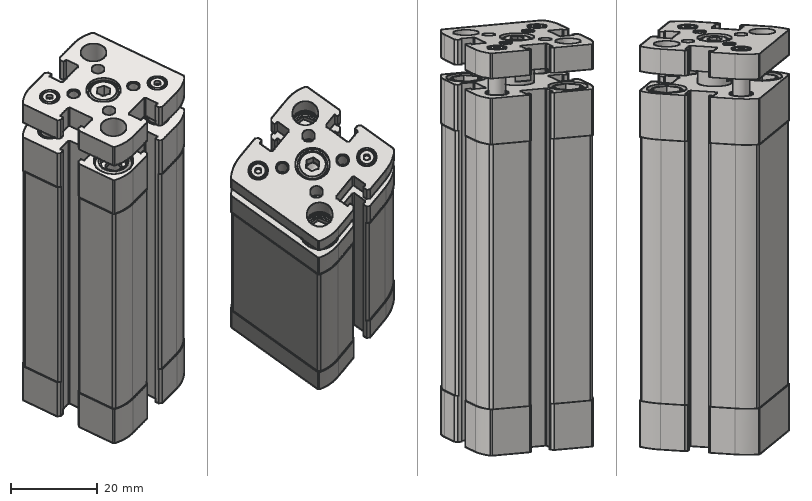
import cadquery as cq
import math

width = 29.0
half_width = width / 2
end_cap_height = 11.0
housing_height = 85.0
plate_gap = 4.7
plate_thickness = 6.0
tube_height = housing_height - 2 * end_cap_height
plate_bottom = housing_height + plate_gap
plate_top = plate_bottom + plate_thickness

side_flat_half = 9.0
corner_arc_radius = 10.0
cap_corner_chamfer = 0.25
tube_inset = 0.2
tube_corner_chamfer = 0.5

slot_mouth_width = 5.0
slot_inner_width = 6.8
slot_depth = 5.2
slot_lip = 1.6
slot_mouth_chamfer = 0.6
slot_floor_chamfer = 0.3
slot_overrun = 1.0

rod_diameter = 8.0
rod_flats = 7.0
rod_shoulder_height = 0.9
rod_flats_start = housing_height + rod_shoulder_height
spigot_diameter = 7.0
spigot_chamfer = 0.45
spigot_recess = 0.3
spigot_groove_depth = 0.8
rod_hex_flats = 3.0
rod_hex_depth = 3.0
drill_point_angle = 118.0

corner_pitch = 9.0
guide_points = [(-corner_pitch, -corner_pitch), (corner_pitch, corner_pitch)]
guide_diameter = 4.0
guide_end_chamfer = 0.3
guide_centre_bore = 1.5
guide_centre_depth = 1.0
guide_clearance = 4.6
guide_seat_diameter = 5.5
guide_seat_depth = 0.2
rod_insertion = end_cap_height

mount_points = [(-corner_pitch, corner_pitch), (corner_pitch, -corner_pitch)]
access_diameter = 6.0
mount_bore = 3.24
mount_bore_chamfer = 0.35
mount_counterbore = 9.2
mount_counterbore_depth = 1.0
collar_diameter = 8.5
collar_top_diameter = 7.0
collar_chamfer = (collar_diameter - collar_top_diameter) / 2
collar_recess = 0.2
collar_hex_flats = 6.0
collar_hex_depth = 2.0
collar_hex_angle = 15.0

plate_pitch = 5.0
dowel_points = [(-plate_pitch, plate_pitch), (plate_pitch, -plate_pitch)]
dowel_diameter = 3.0
thread_points = [(-plate_pitch, -plate_pitch), (plate_pitch, plate_pitch)]
thread_bore = 2.46
thread_chamfer = (dowel_diameter - thread_bore) / 2

axis_point = [(0, 0)]


def prisms(points, diameter, bottom, top):
    """Round columns between two heights, one at each point."""
    base = cq.Workplane("XY", origin=(0, 0, bottom))
    return base.pushPoints(points).circle(diameter / 2).extrude(top - bottom)


def cones(points, bottom_diameter, top_diameter, bottom, top):
    """Cones or countersinks between two heights, one at each point."""
    cone = cq.Solid.makeCone(bottom_diameter / 2, top_diameter / 2, top - bottom)
    return cq.Workplane("XY", origin=(0, 0, bottom)).pushPoints(points).eachpoint(cone, combine=True)


def hexagons(points, across_flats, bottom, top, angle=0):
    """Hexagonal columns; at angle 0 two corners lie along X."""
    across_corners = across_flats / math.cos(math.pi / 6)
    hexagon = cq.Workplane("XY").polygon(6, across_corners).extrude(top - bottom)
    hexagon = hexagon.rotate((0, 0, 0), (0, 0, 1), angle).val()
    return cq.Workplane("XY", origin=(0, 0, bottom)).pushPoints(points).eachpoint(hexagon, combine=True)


def profile_block(inset, corner_chamfer, bottom, height):
    """Extruded outline, with small chamfers where the arcs meet the front and back faces."""
    half = half_width - inset

    def arc_x(y):
        rise = y - side_flat_half
        return half - corner_arc_radius + math.sqrt(corner_arc_radius**2 - rise**2)

    end_x = arc_x(half)
    mid_y = (side_flat_half + half) / 2
    mid_x = arc_x(mid_y)
    block = (
        cq.Workplane("XY", origin=(0, 0, bottom))
        .moveTo(half, -side_flat_half)
        .lineTo(half, side_flat_half)
        .threePointArc((mid_x, mid_y), (end_x, half))
        .lineTo(-end_x, half)
        .threePointArc((-mid_x, mid_y), (-half, side_flat_half))
        .lineTo(-half, -side_flat_half)
        .threePointArc((-mid_x, -mid_y), (-end_x, -half))
        .lineTo(end_x, -half)
        .threePointArc((mid_x, -mid_y), (half, -side_flat_half))
        .close()
        .extrude(height)
    )
    return block.faces("<Y or >Y").edges("|Z").chamfer(corner_chamfer)


def slot_cutters(inset, bottom, height):
    """T-slot prisms for the front, left and right faces of a block with the given inset."""
    face = half_width - inset
    mouth = slot_mouth_width / 2
    inner = slot_inner_width / 2
    floor = half_width - slot_depth
    lip = half_width - slot_lip
    half_outline = [
        (mouth + slot_mouth_chamfer + slot_overrun, face + slot_overrun),
        (mouth, face - slot_mouth_chamfer),
        (mouth, lip),
        (inner, lip),
        (inner, floor + slot_floor_chamfer),
        (inner - slot_floor_chamfer, floor),
    ]
    outline = [(x, -y) for x, y in half_outline]
    outline += [(-x, -y) for x, y in reversed(half_outline)]
    front = cq.Workplane("XY", origin=(0, 0, bottom)).polyline(outline).close().extrude(height)
    left = front.rotate((0, 0, 0), (0, 0, 1), -90)
    right = front.rotate((0, 0, 0), (0, 0, 1), 90)
    return front.union(left).union(right)


def slotted_block(inset, corner_chamfer, bottom, height):
    block = profile_block(inset, corner_chamfer, bottom, height)
    return block.cut(slot_cutters(inset, bottom, height))


def cut_mount_holes(body):
    """Counterbores, the collars standing in them, their hex sockets and the through bores."""
    counterbore_floor = housing_height - mount_counterbore_depth
    collar_top = housing_height - collar_recess
    collar_shoulder = collar_top - collar_chamfer
    socket_floor = collar_top - collar_hex_depth
    body = body.cut(prisms(mount_points, mount_counterbore, counterbore_floor, housing_height))
    body = body.union(prisms(mount_points, collar_diameter, counterbore_floor, collar_shoulder))
    body = body.union(
        cones(mount_points, collar_diameter, collar_top_diameter, collar_shoulder, collar_top)
    )
    body = body.cut(
        hexagons(mount_points, collar_hex_flats, socket_floor, collar_top, collar_hex_angle)
    )
    body = body.cut(prisms(mount_points, mount_bore, 0, socket_floor))
    bore_mouth = mount_bore + 2 * mount_bore_chamfer
    return body.cut(
        cones(mount_points, mount_bore, bore_mouth, socket_floor - mount_bore_chamfer, socket_floor)
    )


def make_housing():
    """Slotted tube between two end caps, as one body."""
    upper_cap_bottom = end_cap_height + tube_height
    body = slotted_block(tube_inset, tube_corner_chamfer, end_cap_height, tube_height)
    for cap_bottom in (0, upper_cap_bottom):
        body = body.union(slotted_block(0, cap_corner_chamfer, cap_bottom, end_cap_height))

    bore_floor = housing_height - rod_insertion
    body = body.cut(prisms(axis_point, rod_diameter, bore_floor, housing_height))
    body = body.cut(prisms(guide_points, guide_clearance, bore_floor, housing_height))
    guide_seat_floor = housing_height - guide_seat_depth
    body = body.cut(prisms(guide_points, guide_seat_diameter, guide_seat_floor, housing_height))
    return cut_mount_holes(body)


def make_plate():
    """Front plate with its access, dowel and threaded holes."""
    plate = slotted_block(0, cap_corner_chamfer, plate_bottom, plate_thickness)
    plate = plate.cut(prisms(mount_points, access_diameter, plate_bottom, plate_top))
    plate = plate.cut(prisms(dowel_points, dowel_diameter, plate_bottom, plate_top))
    plate = plate.cut(prisms(thread_points, thread_bore, plate_bottom, plate_top))
    return plate.cut(
        cones(thread_points, thread_bore, dowel_diameter, plate_top - thread_chamfer, plate_top)
    )


def add_rod(plate):
    """Piston rod joined to the plate, its spigot end standing in an annular groove."""
    rod_bottom = housing_height - rod_insertion
    spigot_top = plate_top - spigot_recess
    groove_floor = plate_top - spigot_groove_depth
    shaft = prisms(axis_point, rod_diameter, rod_bottom, plate_bottom)
    for side in (-1, 1):
        flat_offset = side * (rod_flats + rod_diameter) / 2
        flat = cq.Workplane("XY", origin=(0, flat_offset, rod_flats_start)).box(
            rod_diameter, rod_diameter, plate_bottom - rod_flats_start, centered=(True, True, False)
        )
        shaft = shaft.cut(flat)

    spigot = prisms(axis_point, spigot_diameter, groove_floor, spigot_top)
    spigot = spigot.faces(">Z").chamfer(spigot_chamfer)
    slide = plate.cut(prisms(axis_point, rod_diameter, groove_floor, plate_top))
    slide = slide.union(shaft).union(spigot)

    hex_floor = spigot_top - rod_hex_depth
    drill_tip = hex_floor - rod_hex_flats / 2 / math.tan(math.radians(drill_point_angle / 2))
    slide = slide.cut(hexagons(axis_point, rod_hex_flats, hex_floor, spigot_top))
    return slide.cut(cones(axis_point, 0, rod_hex_flats, drill_tip, hex_floor))


def add_guide_pins(slide):
    """Pins through the plate, with a V groove around each end and a centre bore."""
    pin_bottom = housing_height - rod_insertion
    groove_floor = plate_top - guide_end_chamfer
    pin_tip = guide_diameter - 2 * guide_end_chamfer
    groove_mouth = guide_diameter + 2 * guide_end_chamfer
    slide = slide.union(prisms(guide_points, guide_diameter, pin_bottom, plate_bottom))
    slide = slide.cut(cones(guide_points, guide_diameter, groove_mouth, groove_floor, plate_top))
    slide = slide.union(cones(guide_points, guide_diameter, pin_tip, groove_floor, plate_top))
    return slide.cut(
        prisms(guide_points, guide_centre_bore, plate_top - guide_centre_depth, plate_top)
    )


housing = make_housing()
slide = add_guide_pins(add_rod(make_plate()))

result = cq.Compound.makeCompound([housing.val(), slide.val()])